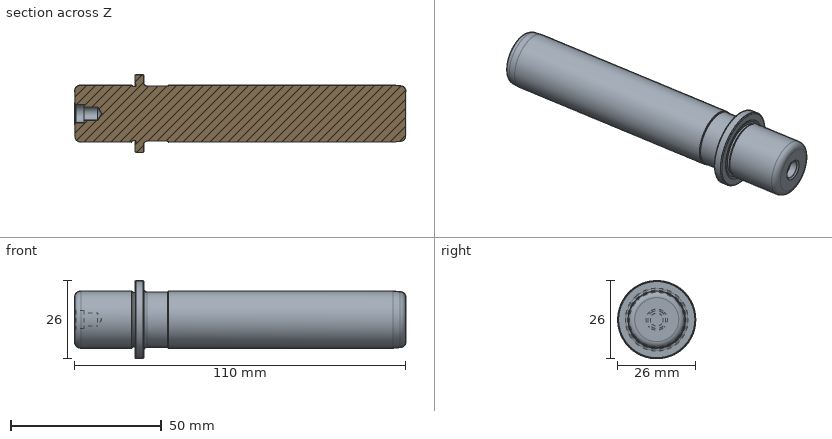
import cadquery as cq
import math

total_length = 110.0
flange_start = 20.0
flange_width = 3.0
flange_end = flange_start + flange_width
neck_end = 30.9
tip_taper_length = 2.3
tip_round = 2.0

shaft_radius = 19.0 / 2
neck_radius = 9.2
flange_radius = 13.0

head_round = 2.1
flange_chamfer = 0.3
neck_fillet = 1.0
tip_taper_drop = 0.2
shoulder_chamfer = shaft_radius - neck_radius

relief_start = 18.9
relief_bottom_start = 19.5
relief_radius = 9.0
relief_face_depth = 0.2
relief_inner_face_radius = 9.8
relief_outer_face_radius = 10.5

bore_radius = 3.0
bore_depth = 3.1
bore_chamfer = 0.5
pilot_radius = 4.3 / 2
pilot_depth = 7.7
drill_half_angle = math.radians(118 / 2)


def corner_point(center_x, center_r, radius, angle_degrees):
    """Point on a rounded corner of the turned profile."""
    angle = math.radians(angle_degrees)
    return (center_x + radius * math.cos(angle), center_r + radius * math.sin(angle))


def revolve_about_x(profile):
    return profile.close().revolve(360, (0, 0, 0), (1, 0, 0))


def make_body():
    tip_radius = shaft_radius - tip_taper_drop
    tip_start = total_length - tip_round
    relief_floor = flange_start + relief_face_depth

    profile = (
        cq.Workplane("XY")
        .moveTo(0, 0)
        .lineTo(0, shaft_radius - head_round)
        .threePointArc(
            corner_point(head_round, shaft_radius - head_round, head_round, 135),
            (head_round, shaft_radius),
        )
        .lineTo(relief_start, shaft_radius)
        .lineTo(relief_bottom_start, relief_radius)
        .lineTo(relief_floor, relief_radius)
        .lineTo(relief_floor, relief_inner_face_radius)
        .lineTo(flange_start, relief_outer_face_radius)
        .lineTo(flange_start, flange_radius - flange_chamfer)
        .lineTo(flange_start + flange_chamfer, flange_radius)
        .lineTo(flange_end - flange_chamfer, flange_radius)
        .lineTo(flange_end, flange_radius - flange_chamfer)
        .lineTo(flange_end, neck_radius + neck_fillet)
        .threePointArc(
            corner_point(flange_end + neck_fillet, neck_radius + neck_fillet, neck_fillet, 225),
            (flange_end + neck_fillet, neck_radius),
        )
        .lineTo(neck_end, neck_radius)
        .lineTo(neck_end + shoulder_chamfer, shaft_radius)
        .lineTo(tip_start - tip_taper_length, shaft_radius)
        .lineTo(tip_start, tip_radius)
        .threePointArc(
            corner_point(tip_start, tip_radius - tip_round, tip_round, 45),
            (total_length, tip_radius - tip_round),
        )
        .lineTo(total_length, 0)
    )
    return revolve_about_x(profile)


def make_center_hole():
    cone_depth = pilot_radius / math.tan(drill_half_angle)
    profile = (
        cq.Workplane("XY")
        .moveTo(0, 0)
        .lineTo(0, bore_radius + bore_chamfer)
        .lineTo(bore_chamfer, bore_radius)
        .lineTo(bore_depth, bore_radius)
        .lineTo(bore_depth, pilot_radius)
        .lineTo(pilot_depth, pilot_radius)
        .lineTo(pilot_depth + cone_depth, 0)
    )
    return revolve_about_x(profile)


result = make_body().cut(make_center_hole())